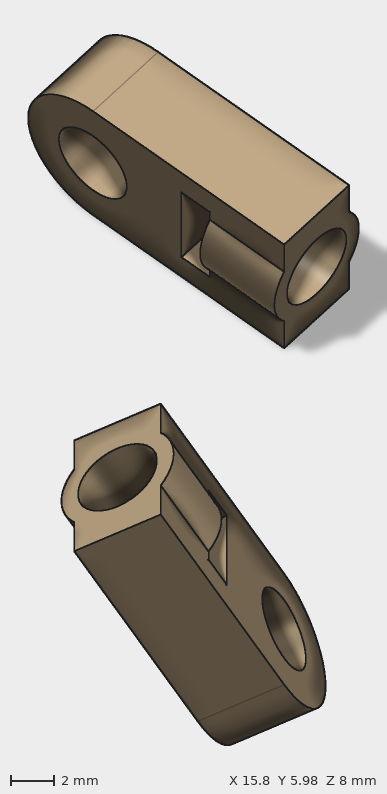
import cadquery as cq

length = 15.81
height = 8.0
thickness = 4.6
end_radius = height / 2
eye_diameter = 4.19

slot_start = 9.47
slot_width = 1.75
slot_height = 5.0

socket_start = slot_start + slot_width
socket_length = length - socket_start
socket_diameter = 5.98
bore_diameter = eye_diameter


def make_body():
    """Plate with a half-round end centred on the eye axis at the origin."""
    square_end = length - end_radius
    return (
        cq.Workplane("XZ", origin=(0, thickness / 2, 0))
        .moveTo(0, end_radius)
        .lineTo(square_end, end_radius)
        .lineTo(square_end, -end_radius)
        .lineTo(0, -end_radius)
        .threePointArc((-end_radius, 0), (0, end_radius))
        .close()
        .extrude(thickness)
    )


def make_eye():
    """Cylinder that cuts the eye right through the thickness."""
    return (
        cq.Workplane("XZ", origin=(0, thickness / 2, 0))
        .circle(eye_diameter / 2)
        .extrude(thickness)
    )


def make_slot():
    """Block that cuts the window right through the thickness."""
    slot_center = slot_start + slot_width / 2 - end_radius
    return cq.Workplane("XY").box(slot_width, thickness, slot_height).translate((slot_center, 0, 0))


def make_socket_cylinder(diameter):
    """Cylinder along X between the window and the square end."""
    return (
        cq.Workplane("YZ", origin=(socket_start - end_radius, 0, 0))
        .circle(diameter / 2)
        .extrude(socket_length)
    )


result = (
    make_body()
    .cut(make_eye())
    .cut(make_slot())
    .union(make_socket_cylinder(socket_diameter))
    .cut(make_socket_cylinder(bore_diameter))
)